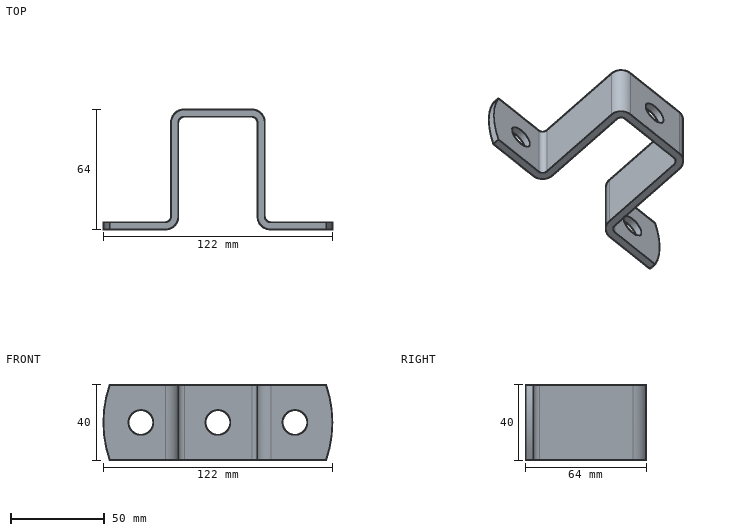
import cadquery as cq

length = 122.0
depth = 64.0
height = 40.0
thickness = 4.0
hat_width = 50.0
inner_bend_radius = 3.0
hole_diameter = 13.0
hole_spacing = 41.0

outer_bend_radius = inner_bend_radius + thickness
half_length = length / 2
outer_wall_x = hat_width / 2
inner_wall_x = outer_wall_x - thickness


def vertical_edges_at(x, y):
    """Select the two mirrored bend edges parallel to Z at the given corner."""
    margin = thickness / 10
    selectors = [
        cq.selectors.BoxSelector(
            (side * x - margin, y - margin, -height),
            (side * x + margin, y + margin, height),
        )
        for side in (-1, 1)
    ]
    return selectors[0] + selectors[1]


def bent_strip():
    """Hat-shaped strip with its flange faces at Y = 0 and its crown at full depth."""
    strip = (
        cq.Workplane("XY")
        .polyline([
            (-half_length, 0),
            (-inner_wall_x, 0),
            (-inner_wall_x, depth - thickness),
            (inner_wall_x, depth - thickness),
            (inner_wall_x, 0),
            (half_length, 0),
            (half_length, thickness),
            (outer_wall_x, thickness),
            (outer_wall_x, depth),
            (-outer_wall_x, depth),
            (-outer_wall_x, thickness),
            (-half_length, thickness),
        ])
        .close()
        .extrude(height / 2, both=True)
    )
    bends = [
        (inner_wall_x, 0, outer_bend_radius),
        (outer_wall_x, thickness, inner_bend_radius),
        (inner_wall_x, depth - thickness, inner_bend_radius),
        (outer_wall_x, depth, outer_bend_radius),
    ]
    for x, y, radius in bends:
        strip = strip.edges(vertical_edges_at(x, y)).fillet(radius)
    return strip


def round_ends(strip):
    """Trim both flange ends to one circle centred on the bracket."""
    disc = cq.Workplane("XZ").circle(half_length).extrude(-depth)
    return strip.intersect(disc)


def bolt_holes():
    """One hole through each flange and one through the crown."""
    return (
        cq.Workplane("XZ")
        .pushPoints([(-hole_spacing, 0), (0, 0), (hole_spacing, 0)])
        .circle(hole_diameter / 2)
        .extrude(-depth)
    )


result = round_ends(bent_strip()).cut(bolt_holes())